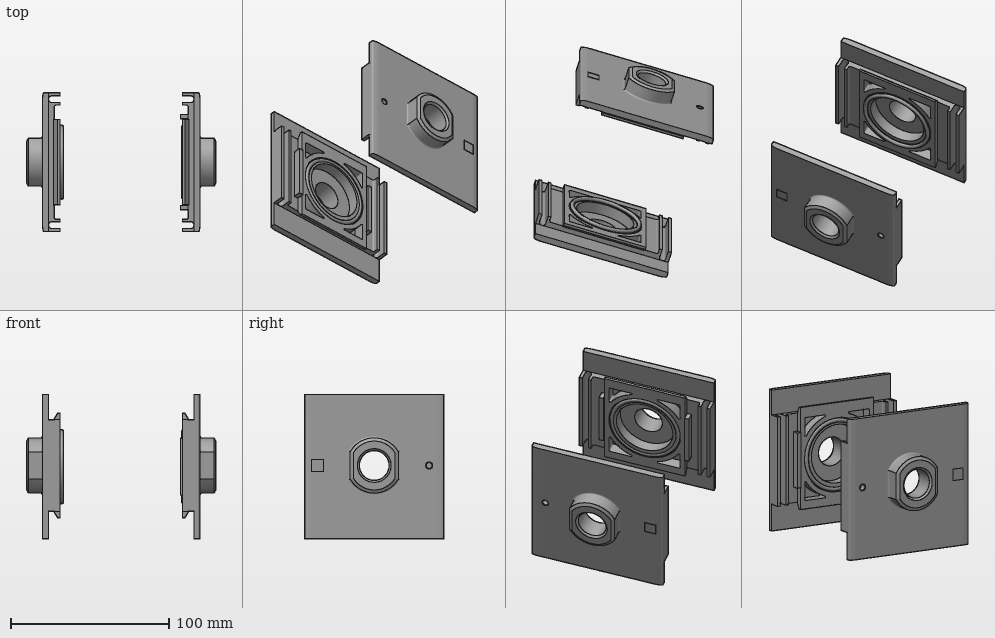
import cadquery as cq
import math


TOTAL_LENGTH = 119.8
OUTER_END_X = -TOTAL_LENGTH / 2
PLATE_WIDTH = 88.0
PLATE_HEIGHT = 91.5
AXIS_Z = 0.7

PLATE_FACE = 9.9
PLATE_BACK = 14.0
CORE_FACE = 17.6
FRAME_FACE = 21.2

BEVEL_WIDTH = 4.4
BEVEL_DROP = 0.7
BEVEL_BULGE = 0.1
EDGE_RADIUS = 1.1

BOSS_RADIUS = 17.5
BOSS_HALF_FLATS = 15.2
BOSS_CHAMFER_WIDTH = 2.0
BOSS_CHAMFER_DEPTH = 1.2
BOSS_BASE_FILLET = 1.0

HOLE_DIAMETER = 18.7
HOLE_CHAMFER = 1.3
BORE_DIAMETER = 38.0

CORE_HEIGHT = 58.0
RAIL_THICKNESS = 2.2
SLOT_WIDTH = 4.1
SLOT_FLOOR_RADIUS = 1.9
INNER_RAIL_THICKNESS = 1.8
RAIL_FILLET = 1.0

FRAME_WIDTH = 54.1
FRAME_HEIGHT = 66.3
LIP_ROOT_DEPTH = 17.1
LIP_TIP_DEPTH = 19.6

POCKET_HALF_WIDTH = 23.8
POCKET_HALF_HEIGHT = 27.0
POCKET_WALL_RADIUS = 27.3
POCKET_CORNER_RADIUS = 1.1
POCKET_TIP_RADIUS = 0.6

GROOVE_INNER_DIAMETER = 42.0
GROOVE_OUTER_DIAMETER = 48.0
GROOVE_DEPTH = 2.0
RING_SECTION_RADIUS = 1.26
RAISED_RING_HEIGHT = 2.3
RING_CENTRE_RADIUS = GROOVE_INNER_DIAMETER / 2 + RING_SECTION_RADIUS
SEATED_RING_DEPTH = FRAME_FACE - GROOVE_DEPTH + RING_SECTION_RADIUS
RAISED_RING_DEPTH = FRAME_FACE + RAISED_RING_HEIGHT - RING_SECTION_RADIUS

RIDGE_WIDTH = 2.9
RIDGE_GAP = 0.2
RIDGE_HEIGHT = 35.9
RIDGE_RISE = 1.3

PILOT_DIAMETER = 3.7
PILOT_DEPTH = 4.8
PILOT_CHAMFER = 0.4
PILOT_Y = 34.7
LABEL_WIDTH = 7.4
LABEL_DEPTH = 0.2


def plane_at(depth, z=0.0):
    """Workplane across the X axis, drawn in Y and Z, at a depth inside the cap."""
    return cq.Workplane("YZ", origin=(OUTER_END_X + depth, 0, z))


def disc(diameter, start, end, z=0.0):
    return plane_at(start, z).circle(diameter / 2).extrude(end - start)


def block(width, height, start, end, y=0.0, z=0.0):
    return plane_at(start, z).center(y, 0).rect(width, height).extrude(end - start)


def make_plate():
    """Square plate with a slightly crowned bevel and a rounded corner along each Y edge."""
    half_width = PLATE_WIDTH / 2
    bevel_y = half_width - BEVEL_WIDTH
    edge_depth = PLATE_FACE + BEVEL_DROP
    arc_depth = PLATE_FACE + BEVEL_DROP / 2 - BEVEL_BULGE
    arc_y = half_width - BEVEL_WIDTH / 2
    plate = (
        cq.Workplane("XY", origin=(OUTER_END_X, 0, -PLATE_HEIGHT / 2))
        .moveTo(PLATE_FACE, -bevel_y)
        .lineTo(PLATE_FACE, bevel_y)
        .threePointArc((arc_depth, arc_y), (edge_depth, half_width))
        .lineTo(PLATE_BACK, half_width)
        .lineTo(PLATE_BACK, -half_width)
        .lineTo(edge_depth, -half_width)
        .threePointArc((arc_depth, -arc_y), (PLATE_FACE, -bevel_y))
        .close()
        .extrude(PLATE_HEIGHT)
    )
    for side in (1, -1):
        corner = cq.selectors.NearestToPointSelector((OUTER_END_X + edge_depth, side * half_width, 0))
        plate = plate.edges("|Z").edges(corner).fillet(EDGE_RADIUS)
    return plate


def boss_half_profile(reach):
    """Half section of the boss, from its axis out to `reach`, with end chamfer and base fillet."""
    fillet_start = PLATE_FACE - BOSS_BASE_FILLET
    diagonal = BOSS_BASE_FILLET * (1 - math.sqrt(0.5))
    return (
        cq.Workplane("XY", origin=(OUTER_END_X, 0, AXIS_Z))
        .moveTo(0, 0)
        .lineTo(0, reach - BOSS_CHAMFER_WIDTH)
        .lineTo(BOSS_CHAMFER_DEPTH, reach)
        .lineTo(fillet_start, reach)
        .threePointArc((PLATE_FACE - diagonal, reach + diagonal), (PLATE_FACE, reach + BOSS_BASE_FILLET))
        .lineTo(PLATE_BACK, reach + BOSS_BASE_FILLET)
        .lineTo(PLATE_BACK, 0)
        .close()
    )


def make_boss():
    """Round boss with two flats facing +Y and -Y; the flats share the round part's section."""
    turned = boss_half_profile(BOSS_RADIUS).revolve(360, (0, 0, 0), (1, 0, 0))
    half_slab = boss_half_profile(BOSS_HALF_FLATS).extrude(2 * BOSS_RADIUS, both=True)
    return turned.intersect(half_slab.union(half_slab.mirror("XZ")))


def make_core():
    """Block behind the plate, with a pair of rails and a round-bottomed slot along each Y edge."""
    half_width = PLATE_WIDTH / 2
    slot_y = half_width - RAIL_THICKNESS - SLOT_WIDTH / 2
    floor_half_width = slot_y - SLOT_WIDTH / 2 - INNER_RAIL_THICKNESS
    core = block(PLATE_WIDTH, CORE_HEIGHT, PLATE_BACK, FRAME_FACE, z=AXIS_Z)
    channel = block(2 * floor_half_width, CORE_HEIGHT, CORE_FACE, FRAME_FACE, z=AXIS_Z)
    core = core.cut(channel.edges("|Z and <X").fillet(RAIL_FILLET))
    for side in (1, -1):
        slot = block(SLOT_WIDTH, CORE_HEIGHT, PLATE_BACK, FRAME_FACE, side * slot_y, AXIS_Z)
        core = core.cut(slot.edges("|Z and <X").fillet(SLOT_FLOOR_RADIUS))
    return core


def make_frame():
    """Raised frame whose Z ends overhang the core as undercut lips."""
    half_core = CORE_HEIGHT / 2
    half_frame = FRAME_HEIGHT / 2
    outline = [
        (PLATE_BACK, half_core),
        (LIP_ROOT_DEPTH, half_core),
        (LIP_TIP_DEPTH, half_frame),
        (FRAME_FACE, half_frame),
        (FRAME_FACE, -half_frame),
        (LIP_TIP_DEPTH, -half_frame),
        (LIP_ROOT_DEPTH, -half_core),
        (PLATE_BACK, -half_core),
    ]
    return (
        cq.Workplane("XZ", origin=(OUTER_END_X, 0, AXIS_Z))
        .polyline(outline)
        .close()
        .extrude(FRAME_WIDTH / 2, both=True)
    )


def make_pockets():
    """Four corner pockets down to the plate, left between a rectangle and a round wall."""
    pockets = block(2 * POCKET_HALF_WIDTH, 2 * POCKET_HALF_HEIGHT, PLATE_BACK, FRAME_FACE)
    pockets = pockets.edges("|X").fillet(POCKET_CORNER_RADIUS)
    pockets = pockets.cut(disc(2 * POCKET_WALL_RADIUS, PLATE_BACK, FRAME_FACE))
    tip_y = math.sqrt(POCKET_WALL_RADIUS**2 - POCKET_HALF_HEIGHT**2)
    tip_z = math.sqrt(POCKET_WALL_RADIUS**2 - POCKET_HALF_WIDTH**2)
    for y, z in ((tip_y, POCKET_HALF_HEIGHT), (POCKET_HALF_WIDTH, tip_z)):
        for y_side in (1, -1):
            for z_side in (1, -1):
                tip = cq.selectors.NearestToPointSelector((OUTER_END_X + PLATE_BACK, y_side * y, z_side * z))
                pockets = pockets.edges("|X").edges(tip).fillet(POCKET_TIP_RADIUS)
    return pockets


def make_groove():
    start = FRAME_FACE - GROOVE_DEPTH
    groove = disc(GROOVE_OUTER_DIAMETER, start, FRAME_FACE)
    return groove.cut(disc(GROOVE_INNER_DIAMETER, start, FRAME_FACE))


def make_bores():
    """Through hole with an entry chamfer, opening into the wide bore of the frame."""
    radius = HOLE_DIAMETER / 2
    half_section = [
        (0, 0),
        (0, radius + HOLE_CHAMFER),
        (HOLE_CHAMFER, radius),
        (PLATE_BACK, radius),
        (PLATE_BACK, BORE_DIAMETER / 2),
        (FRAME_FACE, BORE_DIAMETER / 2),
        (FRAME_FACE, 0),
    ]
    return (
        cq.Workplane("XY", origin=(OUTER_END_X, 0, AXIS_Z))
        .polyline(half_section)
        .close()
        .revolve(360, (0, 0, 0), (1, 0, 0))
    )


def make_pilot_hole():
    """Blind hole in the plate face, with a small entry chamfer."""
    face = plane_at(PLATE_FACE, AXIS_Z).center(PILOT_Y, 0)
    hole = face.circle(PILOT_DIAMETER / 2).extrude(PILOT_DEPTH)
    entry = face.circle(PILOT_DIAMETER / 2 + PILOT_CHAMFER).extrude(PILOT_CHAMFER, taper=45)
    return hole.union(entry)


def make_label_recess():
    """Shallow square recess that ends where the bevel begins."""
    label_y = -(PLATE_WIDTH / 2 - BEVEL_WIDTH - LABEL_WIDTH / 2)
    return block(LABEL_WIDTH, LABEL_WIDTH, PLATE_FACE, PLATE_FACE + LABEL_DEPTH, label_y, AXIS_Z)


def make_ridges():
    """Two ridges on the core face, one along each Y side of the frame."""
    ridge_y = FRAME_WIDTH / 2 + RIDGE_GAP + RIDGE_WIDTH / 2
    top = FRAME_FACE + RIDGE_RISE
    ridge = block(RIDGE_WIDTH, RIDGE_HEIGHT, PLATE_BACK, top, ridge_y)
    return ridge.union(ridge.mirror("XZ"))


def make_cap():
    cap = make_plate().union(make_boss()).union(make_core()).union(make_frame())
    cap = cap.cut(make_pockets()).cut(make_groove()).cut(make_bores())
    return cap.cut(make_pilot_hole()).cut(make_label_recess())


def make_ring(depth):
    """Sealing ring of round section, centred at a depth inside the cap."""
    return (
        cq.Workplane("XY", origin=(OUTER_END_X + depth, 0, 0))
        .center(0, RING_CENTRE_RADIUS)
        .circle(RING_SECTION_RADIUS)
        .revolve(360, (0, -RING_CENTRE_RADIUS, 0), (1, -RING_CENTRE_RADIUS, 0))
    )


plain_cap = make_cap()
ridged_cap = plain_cap.union(make_ridges()).mirror("YZ")
raised_ring = make_ring(RAISED_RING_DEPTH)
seated_ring = make_ring(SEATED_RING_DEPTH).mirror("YZ")

result = cq.Compound.makeCompound(
    [plain_cap.val(), ridged_cap.val(), raised_ring.val(), seated_ring.val()]
)